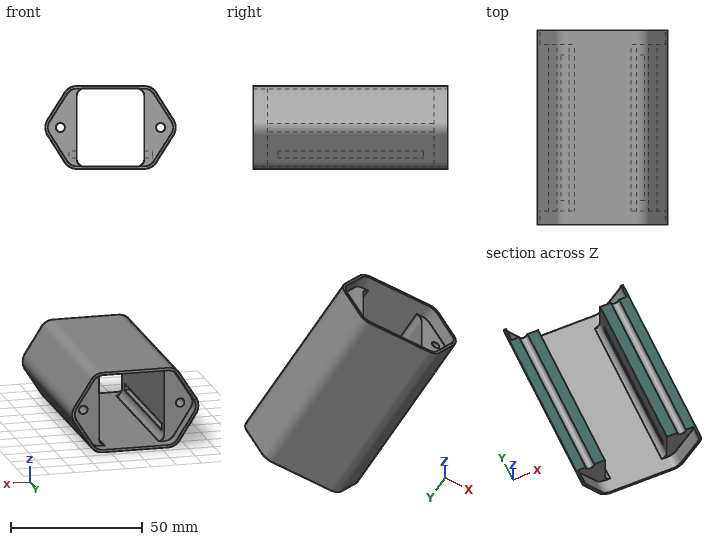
import cadquery as cq
import math

length = 74.0
height = 31.6
shoulder_x = 15.75
tip_x = 25.8
outer_radius = 5.5
wall = 1.0

end_recess = 5.4
block_length = length - 2 * end_recess
opening_width = 25.6
opening_height = 29.8
opening_radius = 3.0
screw_diameter = 3.3
screw_x = 19.0

slot_bottom = -11.5
slot_height = 2.6
slot_depth = 2.95
slot_end_gap = 4.0


def hexagon_prism(prism_length, inset=0):
    """Rounded hexagonal prism along Y, with every face moved inward by inset."""
    side_angle = math.atan2(height / 2, tip_x - shoulder_x)
    top = height / 2 - inset
    shoulder = shoulder_x - inset * math.tan(side_angle / 2)
    tip = tip_x - inset / math.sin(side_angle)
    corners = [
        (tip, 0),
        (shoulder, top),
        (-shoulder, top),
        (-tip, 0),
        (-shoulder, -top),
        (shoulder, -top),
    ]
    prism = cq.Workplane("XZ").polyline(corners).close().extrude(prism_length / 2, both=True)
    return prism.edges("|Y").fillet(outer_radius - inset)


def side_blocks():
    """Pair of blocks beside the rounded opening, with screw holes and guide slots."""
    opening = cq.Workplane("XY").box(opening_width, length, opening_height)
    opening = opening.edges("|Y").fillet(opening_radius)
    filling = hexagon_prism(block_length, wall)
    screws = (
        cq.Workplane("XZ")
        .pushPoints([(-screw_x, 0), (screw_x, 0)])
        .circle(screw_diameter / 2)
        .extrude(length / 2, both=True)
    )
    slots = cq.Workplane("XY").box(
        opening_width + 2 * slot_depth,
        block_length - 2 * slot_end_gap,
        slot_height,
    ).translate((0, 0, slot_bottom + slot_height / 2))
    return filling.cut(opening).cut(screws).cut(slots)


sleeve = hexagon_prism(length).cut(hexagon_prism(length, wall))
result = sleeve.union(side_blocks())